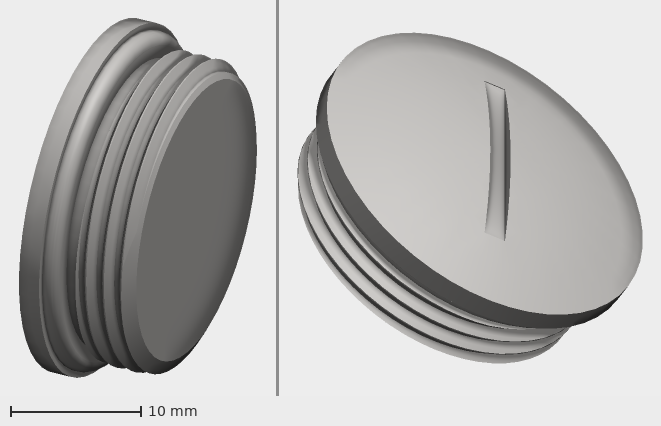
import cadquery as cq
import math


head_radius = 27.97 / 2
rim_thickness = 1.7
dome_height = 2.42
head_height = rim_thickness + dome_height

slot_width = 1.8
slot_length = 17.0
slot_depth = 0.95

shank_length = 6.9
neck_radius = 23.0 / 2
neck_length = 2.1

pitch = 1.5
crest_radius = 12.45
crest_width = 0.1
root_radius = 11.61
flank_angle = math.radians(30)
root_overlap = 0.1

envelope_clearance = 0.1
end_radius = 11.13
cone_angle = math.radians(27)

gasket_outer_radius = 13.47
gasket_thickness = 1.185
gasket_arc_radius = 0.95


def make_head():
    """Spherical dome on a cylindrical rim, with a straight slot across the dome."""
    dome_radius = (head_radius**2 + dome_height**2) / (2 * dome_height)
    half_chord = head_radius / 2
    arc_x = -head_height + dome_radius - math.sqrt(dome_radius**2 - half_chord**2)
    head = (
        cq.Workplane("XY")
        .lineTo(0, head_radius)
        .lineTo(-rim_thickness, head_radius)
        .threePointArc((arc_x, half_chord), (-head_height, 0))
        .close()
        .revolve(360, (0, 0, 0), (1, 0, 0))
    )
    slot = cq.Workplane("XY").box(2 * slot_depth, slot_width, slot_length)
    return head.cut(slot.translate((-head_height, 0, 0)))


def make_thread_ridge():
    """Helical ridge about the X axis, running past both ends of the threaded length."""
    start_x = neck_length - pitch
    turns = math.ceil((shank_length - start_x) / pitch) + 1
    base_radius = root_radius - root_overlap
    half_crest = crest_width / 2
    half_base = half_crest + (crest_radius - base_radius) * math.tan(flank_angle)

    def helix(radius, shift):
        wire = cq.Wire.makeHelix(pitch, turns * pitch, radius, center=cq.Vector(0, 0, shift))
        return wire.Edges()[0]

    corners = [
        helix(base_radius, -half_base),
        helix(crest_radius, -half_crest),
        helix(crest_radius, half_crest),
        helix(base_radius, half_base),
    ]
    faces = [cq.Face.makeRuledSurface(corners[i - 1], corners[i]) for i in range(len(corners))]
    for end in (0, 1):
        outline = cq.Wire.makePolygon([corner.positionAt(end) for corner in corners], close=True)
        faces.append(cq.Face.makeFromWires(outline))

    ridge = cq.Solid.makeSolid(cq.Shell.makeShell(faces))
    return cq.Workplane(obj=ridge.rotate((0, 0, 0), (0, 1, 0), 90).translate((start_x, 0, 0)))


def make_threaded_length():
    """Root cylinder with the helical ridge, cut square at the neck and to a cone at the end."""
    length = shank_length - neck_length
    core = cq.Workplane("YZ", origin=(neck_length, 0, 0)).circle(root_radius).extrude(length)

    envelope_radius = crest_radius + envelope_clearance
    cone_start_x = shank_length - (envelope_radius - end_radius) * math.tan(cone_angle)
    envelope = (
        cq.Workplane("XY")
        .moveTo(neck_length, 0)
        .lineTo(neck_length, envelope_radius)
        .lineTo(cone_start_x, envelope_radius)
        .lineTo(shank_length, end_radius)
        .lineTo(shank_length, 0)
        .close()
        .revolve(360, (0, 0, 0), (1, 0, 0))
    )
    return core.union(make_thread_ridge()).intersect(envelope)


def make_plug():
    neck = cq.Workplane("YZ").circle(neck_radius).extrude(neck_length)
    return make_head().union(neck).union(make_threaded_length()).solids()


def make_gasket():
    """Ring around the neck, its outer side one arc that ends square on the far face."""
    arc_center_x = gasket_thickness - gasket_arc_radius
    arc_center_radius = gasket_outer_radius - gasket_arc_radius
    seat_radius = arc_center_radius + math.sqrt(gasket_arc_radius**2 - arc_center_x**2)
    return (
        cq.Workplane("XY")
        .moveTo(0, neck_radius)
        .lineTo(0, seat_radius)
        .threePointArc((arc_center_x, gasket_outer_radius), (gasket_thickness, arc_center_radius))
        .lineTo(gasket_thickness, neck_radius)
        .close()
        .revolve(360, (0, 0, 0), (1, 0, 0))
    )


plug = make_plug()
gasket = make_gasket()

result = cq.Compound.makeCompound([plug.val(), gasket.val()])